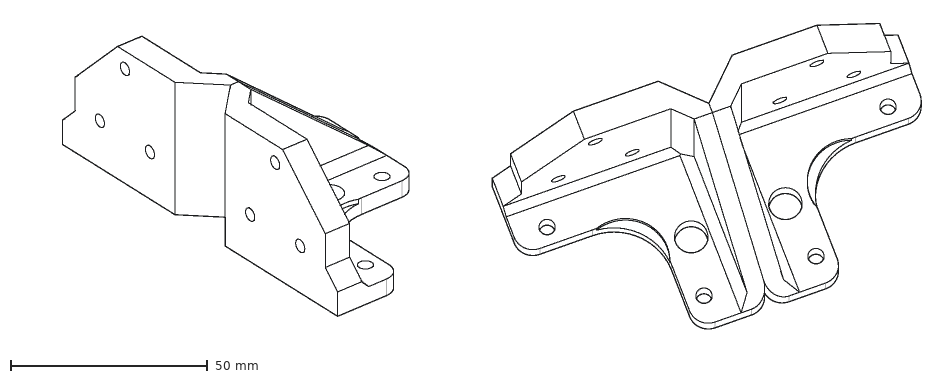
import cadquery as cq

half_length = 55.0
depth = 55.0
height = 39.3

plate_thickness = 5.0
arm_width = 20.0
flange_depth = 21.1
corner_radius = 5.1
inner_radius = 15.6
notch = 10.0

wall_thickness = 8.0
wall_chamfer_depth = 2.2
wall_chamfer_height = 2.3
toe_height = plate_thickness + wall_chamfer_height
toe_width = 5.0
shoulder_height = 22.2

rib_width = 5.0
rib_chamfer = 3.0
rib_top_y = 12.6

recess_radius = 11.3
recess_offset = 10.7
recess_floor = 3.6

wall_hole_diameter = 3.6
wall_hole_pitch = 20.0
lower_hole_z = 14.0
plate_hole_diameter = 4.1
arm_hole = (-15.2, 47.4)
flange_hole = (-46.2, 16.4)
large_hole_diameter = 8.5
large_hole = (-12.8, 31.6)


def footprint(extrusion_height):
    """Rounded L outline with the 45 degree notch at the front."""
    return (
        cq.Workplane("XY")
        .polyline([
            (-half_length, 0),
            (-notch, 0),
            (0, notch),
            (0, depth),
            (-arm_width, depth),
            (-arm_width, flange_depth),
            (-half_length, flange_depth),
        ])
        .close()
        .extrude(extrusion_height)
        .edges(cq.selectors.NearestToPointSelector((-arm_width, flange_depth, extrusion_height / 2)))
        .fillet(inner_radius)
        .edges("|Z and >Y")
        .fillet(corner_radius)
        .edges(cq.selectors.NearestToPointSelector((-half_length, flange_depth, extrusion_height / 2)))
        .fillet(corner_radius)
    )


def front_wall():
    """Wall with a stepped, sloping end and a diagonal stretch behind the notch."""
    bend_x = -rib_width - (rib_top_y - wall_thickness)
    plan = (
        cq.Workplane("XY")
        .polyline([
            (-half_length, 0),
            (0, 0),
            (0, rib_top_y),
            (-rib_width, rib_top_y),
            (bend_x, wall_thickness),
            (-half_length, wall_thickness),
        ])
        .close()
        .extrude(height)
    )
    shoulder_x = -half_length + toe_width
    elevation = (
        cq.Workplane("XZ")
        .polyline([
            (-half_length, 0),
            (0, 0),
            (0, height),
            (shoulder_x + height - shoulder_height, height),
            (shoulder_x, shoulder_height),
            (shoulder_x, toe_height + toe_width),
            (-half_length, toe_height),
        ])
        .close()
        .extrude(-depth)
    )
    return plan.intersect(elevation)


def wall_foot():
    """Chamfer strip along the back of the wall."""
    return (
        cq.Workplane("YZ")
        .polyline([
            (wall_thickness, plate_thickness),
            (wall_thickness + wall_chamfer_depth, plate_thickness),
            (wall_thickness, toe_height),
        ])
        .close()
        .extrude(-half_length)
    )


def rib():
    """Triangular rib with a 45 degree chamfer at its foot."""
    section = (
        cq.Workplane("XZ")
        .polyline([
            (0, 0),
            (-rib_width - rib_chamfer, 0),
            (-rib_width - rib_chamfer, plate_thickness),
            (-rib_width, plate_thickness + rib_chamfer),
            (-rib_width, height),
            (0, height),
        ])
        .close()
        .extrude(-depth)
    )
    slope = (
        cq.Workplane("YZ")
        .polyline([
            (wall_thickness, 0),
            (depth, 0),
            (depth, plate_thickness),
            (rib_top_y, height),
            (wall_thickness, height),
        ])
        .close()
        .extrude(-half_length)
    )
    return section.intersect(slope)


def plate_holes():
    """Vertical fixing holes and the larger hole beside the rib."""
    fixing = (
        cq.Workplane("XY")
        .pushPoints([arm_hole, flange_hole])
        .circle(plate_hole_diameter / 2)
        .extrude(plate_thickness)
    )
    large = (
        cq.Workplane("XY")
        .center(*large_hole)
        .circle(large_hole_diameter / 2)
        .extrude(plate_thickness)
    )
    return fixing.union(large)


def wall_holes():
    """Three horizontal holes in a triangle through the wall."""
    return (
        cq.Workplane("XZ")
        .pushPoints([
            (-wall_hole_pitch, lower_hole_z),
            (-2 * wall_hole_pitch, lower_hole_z),
            (-1.5 * wall_hole_pitch, lower_hole_z + wall_hole_pitch),
        ])
        .circle(wall_hole_diameter / 2)
        .extrude(-wall_thickness)
    )


def plate_recess():
    """Shallow round relief at the inner corner of the plate."""
    return (
        cq.Workplane("XY", origin=(0, 0, recess_floor))
        .center(-arm_width - recess_offset, flange_depth + recess_offset)
        .circle(recess_radius)
        .extrude(plate_thickness - recess_floor)
    )


def left_bracket():
    upright = front_wall().union(wall_foot()).union(rib())
    return (
        footprint(plate_thickness)
        .union(upright.intersect(footprint(height)))
        .cut(plate_holes())
        .cut(wall_holes())
        .cut(plate_recess())
    )


bracket = left_bracket()
brackets = [bracket, bracket.mirror("YZ")]

result = cq.Compound.makeCompound([body.val() for body in brackets])